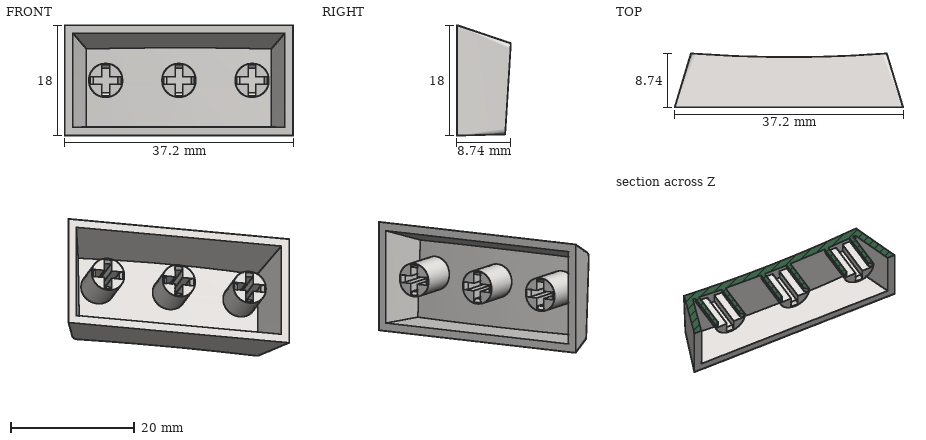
import cadquery as cq
import math


rim_length = 37.15
rim_height = 18.0
top_length = 31.9
top_upper_z = 6.03
top_lower_z = -8.8
top_upper_depth = 8.78
top_lower_depth = 7.85
top_corner_radius = 0.9
rim_corner_radius = 0.01
dish_depth = 0.63

rim_wall = 1.35
cavity_length = 30.0
cavity_upper_z = 5.08
cavity_lower_z = -7.55
roof_thickness = 1.4

stem_diameter = 5.5
stem_offset = 11.9
cross_span = 4.0
cross_arm_width = 1.25
cross_lead_in = 0.5

top_slope = (top_upper_depth - top_lower_depth) / (top_upper_z - top_lower_z)
top_tilt = math.atan(top_slope)


def top_depth(z):
    """Distance from the rim to the undished top plane at height z."""
    return top_lower_depth + top_slope * (z - top_lower_z)


def dish(depth_at_middle, middle_z):
    """Cylindrical hollow running up the leaning plane; its chord spans the top face."""
    plane = cq.Plane(
        origin=(0, depth_at_middle, middle_z),
        xDir=(1, 0, 0),
        normal=(0, math.sin(top_tilt), math.cos(top_tilt)),
    )
    half_chord = top_length / 2
    return (
        cq.Workplane(plane)
        .moveTo(-half_chord, 0)
        .threePointArc((0, -dish_depth), (half_chord, 0))
        .close()
        .extrude(rim_height, both=True)
    )


def dished_block(rim, length, upper_z, lower_z, inset, corner_radius):
    """Straight-sided block from a rim sketch to a dished rectangle, inset below the leaning top plane."""
    middle_z = (upper_z + lower_z) / 2
    middle_depth = top_depth(middle_z) - inset
    slant_height = (upper_z - lower_z) / math.cos(top_tilt)
    top = cq.Sketch().rect(length, slant_height)
    if corner_radius:
        top = top.vertices().fillet(corner_radius)
    shift = cq.Location(cq.Vector(0, middle_z, -middle_depth))
    lean = cq.Location(cq.Vector(), cq.Vector(1, 0, 0), -math.degrees(top_tilt))
    block = cq.Workplane("XZ").placeSketch(rim, top.moved(shift * lean)).loft(ruled=True)
    return block.cut(dish(middle_depth, middle_z))


def cross_socket():
    """Cross-shaped bore whose arm tips flare outwards at the rim plane."""
    inner = cross_span / 2
    mouth = inner + cross_lead_in
    flared_arm = [
        (-mouth, 0),
        (mouth, 0),
        (inner, cross_lead_in),
        (inner, top_upper_depth),
        (-inner, top_upper_depth),
        (-inner, cross_lead_in),
    ]
    arm = cq.Workplane("XY").polyline(flared_arm).close().extrude(cross_arm_width / 2, both=True)
    upright = arm.rotate((0, 0, 0), (0, 1, 0), 90)
    return arm.union(upright)


def stem(x, cavity):
    """Round post with a cross socket, flush with the rim and ending on the cavity roof."""
    post = cq.Workplane("XZ").circle(stem_diameter / 2).extrude(-top_upper_depth)
    return post.cut(cross_socket()).translate((x, 0, 0)).intersect(cavity)


outer_rim = cq.Sketch().rect(rim_length, rim_height).vertices().fillet(rim_corner_radius)
outer = dished_block(outer_rim, top_length, top_upper_z, top_lower_z, 0, top_corner_radius)

cavity_rim = cq.Sketch().rect(rim_length - 2 * rim_wall, rim_height - 2 * rim_wall)
cavity = dished_block(cavity_rim, cavity_length, cavity_upper_z, cavity_lower_z, roof_thickness, 0)

result = outer.cut(cavity)
for stem_x in (-stem_offset, 0, stem_offset):
    result = result.union(stem(stem_x, cavity))